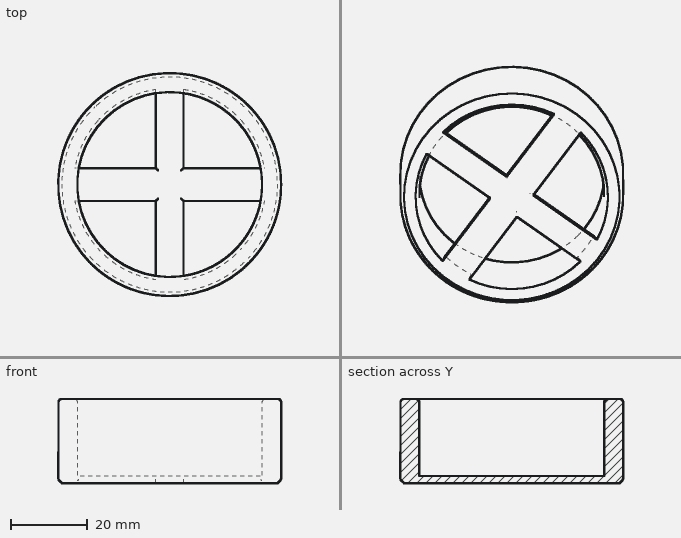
import cadquery as cq

outer_diameter = 58.0
bore_diameter = 48.0
height = 22.0
rim_radius = 1.0
base_chamfer = 1.0
base_blend_radius = 1.0

cross_thickness = 2.0
x_bar_width = 8.6
y_bar_width = 7.25
cross_edge_radius = 0.75


def make_ring():
    """Ring with a rounded upper rim and bevelled base edges that blend into the walls."""
    ring = (
        cq.Workplane("XY")
        .circle(outer_diameter / 2)
        .circle(bore_diameter / 2)
        .extrude(height)
    )
    ring = ring.faces(">Z").edges().fillet(rim_radius)
    ring = ring.faces("<Z").edges().chamfer(base_chamfer)
    wall_edges = cq.selectors.BoxSelector(
        (-outer_diameter, -outer_diameter, base_chamfer / 2),
        (outer_diameter, outer_diameter, base_chamfer * 1.5),
        boundingbox=True,
    )
    return ring.edges(wall_edges).fillet(base_blend_radius)


def make_cross():
    """Two crossing bars with rounded upper edges, ending inside the ring wall."""
    bar_length = (outer_diameter + bore_diameter) / 2
    centered = (True, True, False)
    x_bar = cq.Workplane("XY").box(bar_length, x_bar_width, cross_thickness, centered=centered)
    y_bar = cq.Workplane("XY").box(y_bar_width, bar_length, cross_thickness, centered=centered)
    cross = x_bar.union(y_bar)
    cross = cross.faces(">Z").edges().fillet(cross_edge_radius)
    trim = cq.Workplane("XY").circle(bore_diameter / 2 + base_chamfer).extrude(cross_thickness)
    return cross.intersect(trim)


result = make_ring().union(make_cross())